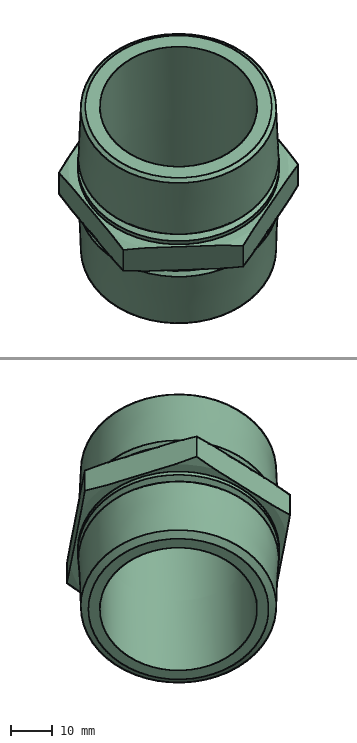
import cadquery as cq

across_corners = 57.75
total_height = 54.0
bore_radius = 18.95

hex_height = 8.65
bevel_inner_radius = 26.5
bevel_drop = 0.45

collar_radius = 24.3
collar_height = 1.25
groove_radius = 22.65
groove_start = 1.85
groove_end = 2.4
spigot_base_radius = 24.15
spigot_base_height = 3.6
spigot_tip_radius = 23.55
top_chamfer_width = 1.1
top_chamfer_height = 0.65
bottom_chamfer_width = 1.85
bottom_chamfer_height = 1.05

half_height = total_height / 2
half_hex = hex_height / 2
corner_radius = across_corners / 2


def revolve_profile(points):
    """Revolve a closed (radius, z) outline around the Z axis."""
    return cq.Workplane("XZ").polyline(points).close().revolve(360, (0, 0), (0, 1))


def spigot(side, chamfer_width, chamfer_height):
    """Collar, groove and tapered end above (side = 1) or below (side = -1) the hexagon."""
    outline = [
        (0, 0),
        (collar_radius, 0),
        (collar_radius, half_hex + collar_height),
        (groove_radius, half_hex + groove_start),
        (groove_radius, half_hex + groove_end),
        (spigot_base_radius, half_hex + spigot_base_height),
        (spigot_tip_radius, half_height - chamfer_height),
        (spigot_tip_radius - chamfer_width, half_height),
        (0, half_height),
    ]
    return revolve_profile([(radius, side * z) for radius, z in outline])


def bevelled_hexagon():
    """Hexagon with corners on the X axis, bevelled by a cone on both faces."""
    prism = (
        cq.Workplane("XY")
        .polygon(6, across_corners)
        .extrude(hex_height)
        .translate((0, 0, -half_hex))
    )
    bevel_limit = revolve_profile([
        (0, -half_hex),
        (bevel_inner_radius, -half_hex),
        (corner_radius, -half_hex + bevel_drop),
        (corner_radius, half_hex - bevel_drop),
        (bevel_inner_radius, half_hex),
        (0, half_hex),
    ])
    return prism.intersect(bevel_limit)


bore = cq.Workplane("XY").circle(bore_radius).extrude(half_height, both=True)

result = (
    bevelled_hexagon()
    .union(spigot(1, top_chamfer_width, top_chamfer_height))
    .union(spigot(-1, bottom_chamfer_width, bottom_chamfer_height))
    .cut(bore)
)